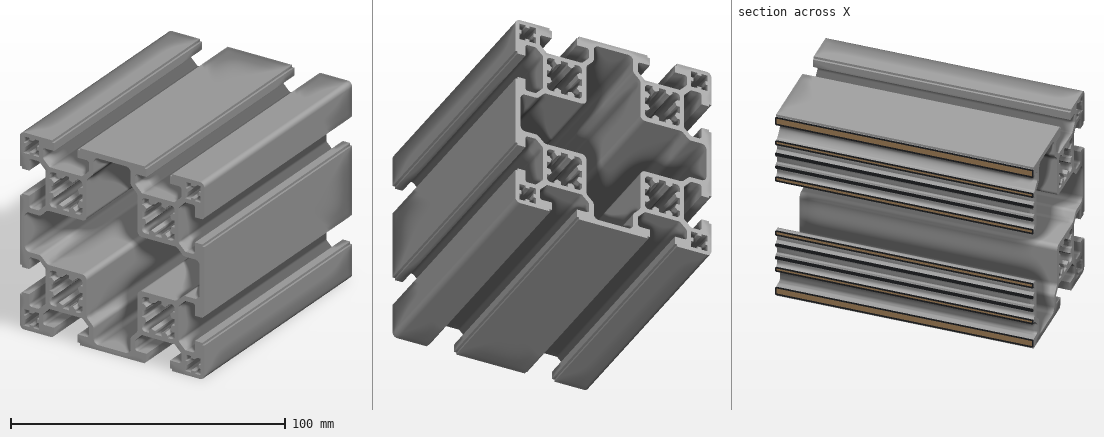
import cadquery as cq
import math

side = 80.0
length = 100.0
corner_radius = 2.0

slot_offset = side / 4
mouth_half = 5.1
step_half = 6.0
step_depth = 0.9
lip_depth = 4.1
slot_half = 10.0
slot_depth = 11.2
slot_bevel = 2.9
slot_radius = 1.0

skin = 2.1
arm_half = 8.0
hub_half = 11.0
flare_depth = 9.0
cavity_radius = 2.0

channel_half = 7.1
channel_radius = 1.5
core_radius = 5.9
rib_inner = 1.4
rib_outer = 4.1
rib_bevel_offset = 2.1

pocket_width = 6.7
pocket_wall = 1.6
pocket_half = pocket_width / 2
pocket_offset = pocket_wall + pocket_half
pocket_rib_width = 1.6
pocket_rib_height = 0.9

half = side / 2
margin = 0.1
quarter_turns = (0, 90, 180, 270)


def prism(outline):
    """Run a closed outline along the whole length."""
    return outline.close().extrude(-length)


def block(width, height, x=0, z=0):
    """Rectangular bar along the whole length, centred at (x, z)."""
    return cq.Workplane("XZ").center(x, z).rect(width, height).extrude(-length)


def turned(body, angle):
    """Turn a body about the lengthwise centre axis."""
    return body.rotate((0, 0, 0), (0, 1, 0), angle)


def edges_in_zone(body, x_half, z_low, z_high):
    """Edges along Y that lie within x_half of the middle, between two heights."""
    zone = cq.selectors.BoxSelector((-x_half, 0, z_low), (x_half, length, z_high))
    return body.edges("|Y").edges(zone)


def slot():
    """T-slot in the top face on the -X side: a stepped mouth above a chamber with
    45-degree bevels along its floor and all its corners rounded."""
    x = -half + slot_offset
    lip = half - lip_depth
    step = half - step_depth
    floor = half - slot_depth
    left = x - slot_half
    right = x + slot_half
    chamber = prism(cq.Workplane("XZ").polyline([
        (left, lip),
        (left, floor + slot_bevel),
        (left + slot_bevel, floor),
        (right - slot_bevel, floor),
        (right, floor + slot_bevel),
        (right, lip),
    ])).edges("|Y").fillet(slot_radius)
    mouth = prism(cq.Workplane("XZ").polyline([
        (x - step_half, half),
        (x - step_half, step),
        (x - mouth_half, step),
        (x - mouth_half, floor),
        (x + mouth_half, floor),
        (x + mouth_half, step),
        (x + step_half, step),
        (x + step_half, half),
    ]))
    return chamber.union(mouth)


def cavity_arm():
    """Upper arm of the centre cavity, flaring out to the hub through rounded 45-degree bevels."""
    top = half - skin
    flare_top = half - flare_depth
    flare_bottom = flare_top - (hub_half - arm_half)
    arm = prism(cq.Workplane("XZ").polyline([
        (-hub_half, 0),
        (-hub_half, flare_bottom),
        (-arm_half, flare_top),
        (-arm_half, top),
        (arm_half, top),
        (arm_half, flare_top),
        (hub_half, flare_bottom),
        (hub_half, 0),
    ]))
    return edges_in_zone(arm, hub_half + margin, flare_bottom - margin, half).fillet(cavity_radius)


def cavity():
    """Four arms joined at the hub, with the web corners at the hub rounded."""
    arm = cavity_arm()
    void = arm
    for angle in quarter_turns[1:]:
        void = void.union(turned(arm, angle))
    reach = hub_half + margin
    return edges_in_zone(void, reach, -reach, reach).fillet(cavity_radius)


def screw_rib():
    """Rib on the upper wall of a centred channel: its tip follows the core circle
    on the inner side and a 45-degree flat on the outer side."""
    def on_core(x):
        return (x, math.sqrt(core_radius ** 2 - x ** 2))

    tip = (math.sqrt(2 * core_radius ** 2 - rib_bevel_offset ** 2) - rib_bevel_offset) / 2
    outline = (
        cq.Workplane("XZ")
        .moveTo(rib_inner, channel_half)
        .lineTo(*on_core(rib_inner))
        .threePointArc(on_core((rib_inner + tip) / 2), on_core(tip))
        .lineTo(rib_outer, rib_outer + rib_bevel_offset)
        .lineTo(rib_outer, channel_half)
    )
    return prism(outline)


def screw_channel():
    """Square channel on the centre axis with two ribs standing on each wall."""
    channel = block(2 * channel_half, 2 * channel_half).edges("|Y").fillet(channel_radius)
    rib = screw_rib()
    rib_pair = rib.union(rib.mirror("YZ"))
    for angle in quarter_turns:
        channel = channel.cut(turned(rib_pair, angle))
    return channel


def corner_pocket():
    """Small square channel on the centre axis with one rib in the middle of each wall."""
    pocket = block(pocket_width, pocket_width)
    rib = block(pocket_rib_width, pocket_rib_height, z=pocket_half - pocket_rib_height / 2)
    for angle in quarter_turns:
        pocket = pocket.cut(turned(rib, angle))
    return pocket


def in_corner(body, offset):
    """Move a centred body to the given distance from the -X and +Z faces."""
    return body.translate((offset - half, 0, half - offset))


left_slot = slot()
right_slot = left_slot.mirror("YZ")
channel = in_corner(screw_channel(), slot_offset)
pocket = in_corner(corner_pocket(), pocket_offset)

profile = block(side, side).edges("|Y").fillet(corner_radius).cut(cavity())
for angle in quarter_turns:
    for void in (left_slot, right_slot, channel, pocket):
        profile = profile.cut(turned(void, angle))

result = profile